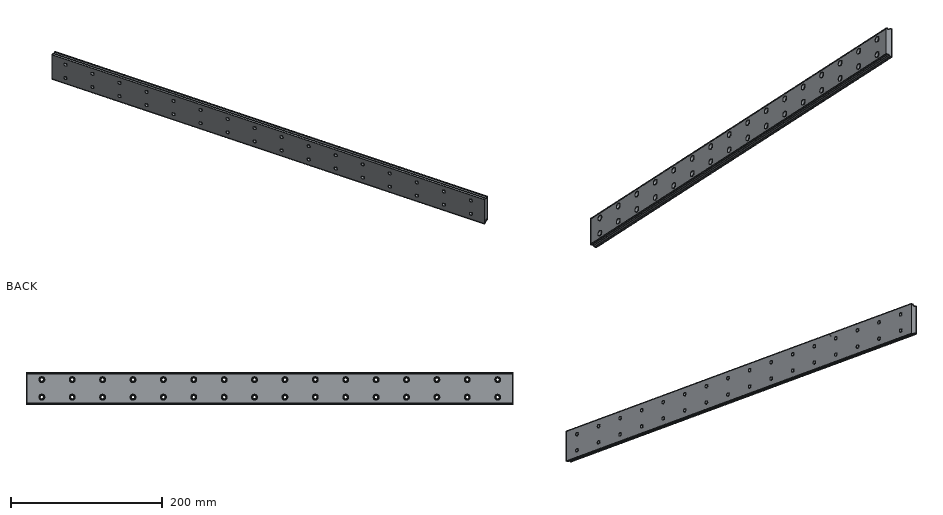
import cadquery as cq

length = 640.0
thickness = 9.5
height = 42.0

land_width = 2.95
groove_start_distance = 4.8
groove_width = 2.95
groove_drop = 1.0
groove_depth = 0.8
lip_corner_drop = 2.0
lip_bulge = 0.4

hole_diameter = 4.5
hole_pitch = 40.0
hole_row_spacing = 23.0
holes_per_row = 16
counterbore_diameter = 8.0
counterbore_depth = 4.5

front_face = -thickness / 2
back_face = thickness / 2


def beside_chord(start, end, offset):
    """Point beside the middle of the chord, positive offsets to the left of start-to-end."""
    chord = end - start
    left = cq.Vector(-chord.y, chord.x).normalized()
    return (start + end) * 0.5 + left * offset


def make_bar():
    """Bar along X whose long edges carry a flat land, a bevel, a round groove and a rounded lip."""
    half_height = height / 2
    groove_level = half_height - groove_drop
    groove_start_y = front_face + groove_start_distance

    land_end = cq.Vector(front_face + land_width, half_height)
    groove_start = cq.Vector(groove_start_y, groove_level)
    groove_end = cq.Vector(groove_start_y + groove_width, groove_level)
    lip_corner = cq.Vector(back_face, half_height - lip_corner_drop)
    groove_bottom = beside_chord(groove_start, groove_end, -groove_depth)
    lip_middle = beside_chord(groove_end, lip_corner, lip_bulge)

    upper_half = (
        cq.Workplane("YZ", origin=(-length / 2, 0, 0))
        .moveTo(front_face, 0)
        .lineTo(front_face, half_height)
        .lineTo(land_end.x, land_end.y)
        .lineTo(groove_start.x, groove_start.y)
        .threePointArc(groove_bottom.toTuple()[:2], groove_end.toTuple()[:2])
        .threePointArc(lip_middle.toTuple()[:2], lip_corner.toTuple()[:2])
        .lineTo(back_face, 0)
        .close()
        .extrude(length)
    )
    return upper_half.union(upper_half.mirror("XY")).clean()


def drill_holes(bar):
    """Drill both rows of counterbored holes from the back face right through the bar."""
    return (
        bar.copyWorkplane(cq.Workplane("XZ", origin=(0, back_face, 0)))
        .transformed(rotate=(0, 180, 0))
        .rarray(hole_pitch, hole_row_spacing, holes_per_row, 2)
        .cboreHole(hole_diameter, counterbore_diameter, counterbore_depth)
    )


result = drill_holes(make_bar())